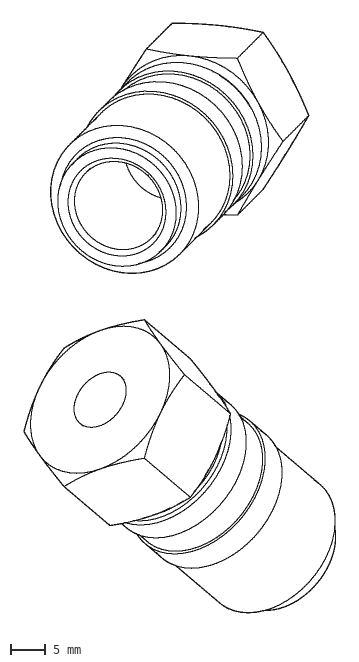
import cadquery as cq
import math

total_length = 49.0
across_flats = 24.0
hex_length = 14.45
hex_chamfer_angle = 30.0

nose_radius = 9.0
ring_crest_radius = 9.6
body_radius = 11.25
collar_radius = 11.7
neck_radius = 10.5

ring_start = 2.25
body_start = 3.65
front_collar_start = 18.5
front_collar_end = 23.05
rear_collar_start = 28.1
rear_collar_end = 32.6
collar_chamfer = 0.45

through_radius = 4.5
socket_radius = 6.7
socket_depth = 24.5
socket_mouth_radius = 7.45
mouth_chamfer_length = 0.75

hex_start = total_length - hex_length


def revolve_about_y(profile):
    """Turn a closed (radius, Y) profile around the part's axis."""
    return profile.close().revolve(360, (0, 0, 0), (0, 1, 0))


def make_turned_body():
    """Nose, rounded sealing ring, body, two collars and neck."""
    ring_middle = (ring_start + body_start) / 2
    profile = (
        cq.Workplane("XY")
        .lineTo(nose_radius, 0)
        .lineTo(nose_radius, ring_start)
        .threePointArc((ring_crest_radius, ring_middle), (nose_radius, body_start))
        .lineTo(body_radius, body_start)
        .lineTo(body_radius, front_collar_start)
        .lineTo(collar_radius, front_collar_start)
        .lineTo(collar_radius, front_collar_end)
        .lineTo(body_radius, front_collar_end)
        .lineTo(body_radius, rear_collar_start)
        .lineTo(collar_radius, rear_collar_start)
        .lineTo(collar_radius, rear_collar_end - collar_chamfer)
        .lineTo(collar_radius - collar_chamfer, rear_collar_end)
        .lineTo(neck_radius, rear_collar_end)
        .lineTo(neck_radius, hex_start)
        .lineTo(0, hex_start)
    )
    return revolve_about_y(profile)


def make_hex():
    """Hexagon with corners on X, its corners cut by a cone at both ends."""
    face_radius = across_flats / 2
    corner_radius = face_radius / math.cos(math.radians(30))
    chamfer_length = (corner_radius - face_radius) * math.tan(math.radians(hex_chamfer_angle))
    prism = (
        cq.Workplane("XZ", origin=(0, hex_start, 0))
        .polygon(6, 2 * corner_radius)
        .extrude(-hex_length)
    )
    envelope = (
        cq.Workplane("XY")
        .moveTo(0, hex_start)
        .lineTo(face_radius, hex_start)
        .lineTo(corner_radius, hex_start + chamfer_length)
        .lineTo(corner_radius, total_length - chamfer_length)
        .lineTo(face_radius, total_length)
        .lineTo(0, total_length)
    )
    return prism.intersect(revolve_about_y(envelope))


def make_bore():
    """Through hole with a wider, chamfered socket at the nose."""
    profile = (
        cq.Workplane("XY")
        .lineTo(socket_mouth_radius, 0)
        .lineTo(socket_radius, mouth_chamfer_length)
        .lineTo(socket_radius, socket_depth)
        .lineTo(through_radius, socket_depth)
        .lineTo(through_radius, total_length)
        .lineTo(0, total_length)
    )
    return revolve_about_y(profile)


result = make_turned_body().union(make_hex()).cut(make_bore())